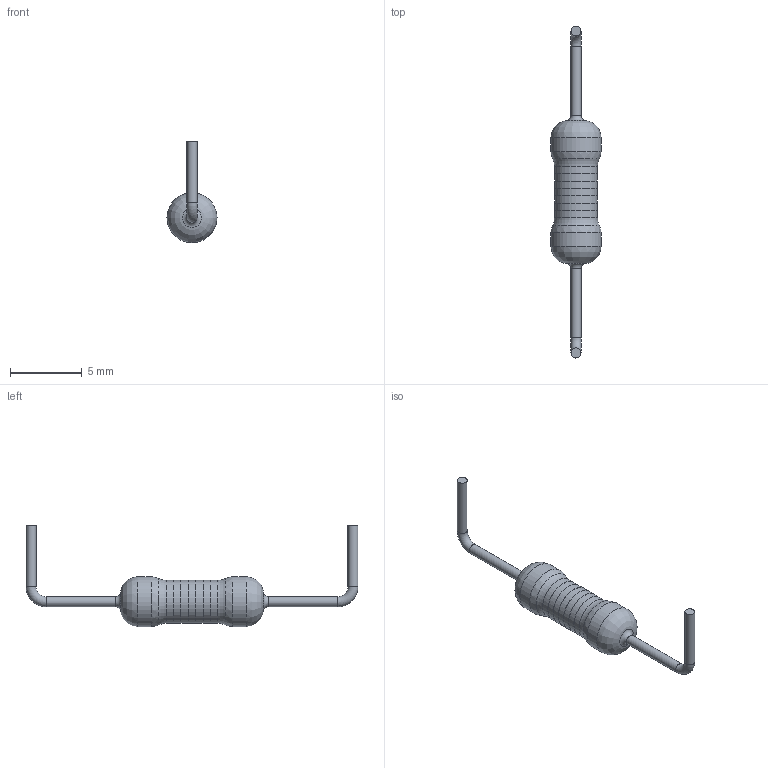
import cadquery as cq
import math


body_length = 10.0
end_diameter = 3.5
waist_diameter = 3.0
groove_diameter = 2.98
cap_radius = 1.2
bulge_outer_y = body_length / 2 - cap_radius
bulge_inner_y = 2.85
waist_half_length = 1.8
ring_count = 7
ring_width = 2 * waist_half_length / ring_count

lead_diameter = 0.7
lead_radius = lead_diameter / 2
lead_span = 23.2
lead_top_z = 5.35
bend_radius = 1.05
neck_radius = 0.35
upright_y = lead_span / 2 - lead_radius


def point_on_circle(center, radius, angle):
    """Point (radial distance, axial position) at an angle from the radial direction."""
    return (center[0] + radius * math.cos(angle), center[1] + radius * math.sin(angle))


def make_half_body():
    """Half of the body from the middle plane to +Y, including the lead neck."""
    end_radius = end_diameter / 2
    waist_radius = waist_diameter / 2

    half_run = (bulge_inner_y - waist_half_length) / 2
    half_rise = (end_radius - waist_radius) / 2
    shoulder_radius = (half_run**2 + half_rise**2) / (2 * half_rise)
    shoulder_angle = math.asin(half_run / shoulder_radius)
    waist_arc_center = (waist_radius + shoulder_radius, waist_half_length)
    bulge_arc_center = (end_radius - shoulder_radius, bulge_inner_y)
    shoulder_middle = (waist_radius + half_rise, waist_half_length + half_run)

    cap_center = (end_radius - cap_radius, bulge_outer_y)
    neck_center_r = lead_radius + neck_radius
    center_distance = cap_radius + neck_radius
    cap_angle = math.acos((neck_center_r - cap_center[0]) / center_distance)
    neck_center = (neck_center_r, cap_center[1] + center_distance * math.sin(cap_angle))
    cap_end = point_on_circle(cap_center, cap_radius, cap_angle)
    neck_middle_angle = math.pi + cap_angle / 2

    profile = (
        cq.Workplane("XY")
        .lineTo(waist_radius, 0)
        .lineTo(waist_radius, waist_half_length)
        .threePointArc(
            point_on_circle(waist_arc_center, shoulder_radius, math.pi - shoulder_angle / 2),
            shoulder_middle,
        )
        .threePointArc(
            point_on_circle(bulge_arc_center, shoulder_radius, -shoulder_angle / 2),
            (end_radius, bulge_inner_y),
        )
        .lineTo(end_radius, bulge_outer_y)
        .threePointArc(point_on_circle(cap_center, cap_radius, cap_angle / 2), cap_end)
        .threePointArc(
            point_on_circle(neck_center, neck_radius, neck_middle_angle),
            (lead_radius, neck_center[1]),
        )
        .lineTo(0, neck_center[1])
        .close()
    )
    return profile.revolve(360, (0, 0, 0), (0, 1, 0))


def make_groove(ring):
    """Shallow ring of material to remove from the waist, counted from the -Y end."""
    end_y = -waist_half_length + (ring + 1) * ring_width
    return (
        cq.Workplane("XZ", origin=(0, end_y, 0))
        .circle(end_diameter / 2)
        .circle(groove_diameter / 2)
        .extrude(ring_width)
    )


def make_lead():
    """Round wire running out along +Y from the body and bending up to +Z."""
    path = (
        cq.Workplane("YZ")
        .moveTo(bulge_outer_y, 0)
        .lineTo(upright_y - bend_radius, 0)
        .radiusArc((upright_y, bend_radius), -bend_radius)
        .lineTo(upright_y, lead_top_z)
    )
    section = cq.Workplane("XZ", origin=(0, bulge_outer_y, 0)).circle(lead_radius)
    return section.sweep(path)


half_body = make_half_body()
lead = make_lead()
result = half_body.union(half_body.mirror("XZ"))
for ring in range(1, ring_count, 2):
    result = result.cut(make_groove(ring))
result = result.union(lead).union(lead.mirror("XZ"))